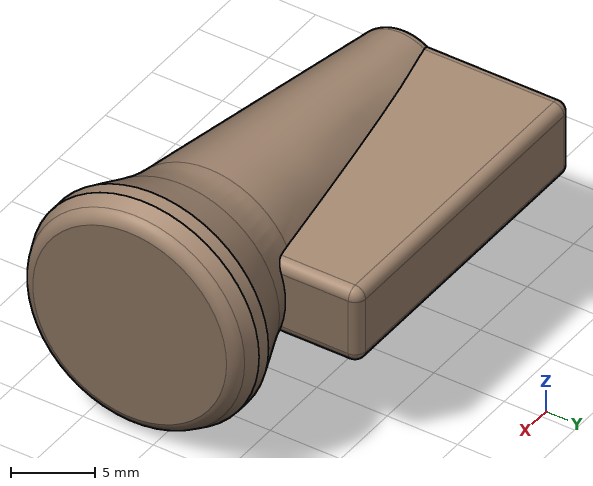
import cadquery as cq

length = 29.7
tip_face_radius = 2.43
tip_round = 0.7
tip_radius = 3.2
cone_end_x = 21.15
cone_end_radius = 6.15
flare_mid_x = 24.1
flare_mid_radius = 6.95
rim_start_x = 27.05
rim_end_x = 28.05
rim_radius = 8.14
shoulder_x = 29.0
shoulder_radius = 7.72
end_face_radius = 6.9

plate_length = 22.75
plate_reach = 11.67
plate_thickness = 5.4
plate_round = 0.75


def make_handle():
    """Revolve the half profile of the handle about the X axis."""
    profile = (
        cq.Workplane("XY")
        .lineTo(0, tip_face_radius)
        .tangentArcPoint((tip_round, tip_radius), relative=False)
        .lineTo(cone_end_x, cone_end_radius)
        .tangentArcPoint((flare_mid_x, flare_mid_radius), relative=False)
        .lineTo(rim_start_x, rim_radius)
        .lineTo(rim_end_x, rim_radius)
        .lineTo(shoulder_x, shoulder_radius)
        .tangentArcPoint((length, end_face_radius), relative=False)
        .lineTo(length, 0)
        .close()
    )
    return profile.revolve(360, (0, 0, 0), (1, 0, 0))


def make_plate():
    """Plate from the handle axis out to +Y, rounded on every edge outside the handle."""
    plate = cq.Workplane("XY").box(
        plate_length, plate_reach, plate_thickness, centered=(False, False, True)
    )
    return plate.edges("not <Y").fillet(plate_round)


result = make_handle().union(make_plate())